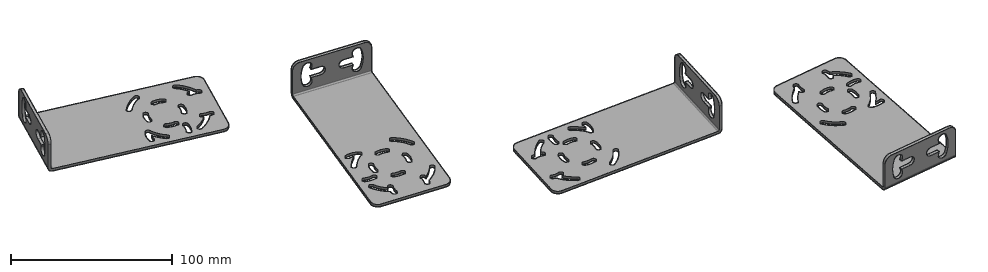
import cadquery as cq
import math

width = 54.0
length = 120.0
height = 27.0
thickness = 2.0
inner_bend_radius = 1.0
outer_bend_radius = inner_bend_radius + thickness
corner_radius = 5.0

plate_slot_width = 3.5
small_half_angle = 15.0
ring_radius = 12.0
ring_center = (0, 86.3)
large_radius = 24.2
rising_pair_center = (0, 88.3)
falling_pair_center = (0, 90.4)
large_half_angle = 15.0
rising_pair_angles = (49, 229)
falling_pair_angles = (139, 319)
upper_pair_radius = 11.5
upper_pair_center = (-1.5, 110.2)
right_pair_radius = 12.7
right_pair_center = (18.0, 82.2)

flange_slot_width = 6.5
flange_slot_height = 15.1
flange_arc_radius = 18.0
flange_half_angle = 20.0
stem_end_x = 7.9


def polar(center, radius, angle):
    """Point on a circle, with the angle in degrees."""
    turn = math.radians(angle)
    return (center[0] + radius * math.cos(turn), center[1] + radius * math.sin(turn))


def arc_slot(plane, center, radius, mid_angle, half_angle, slot_width, depth):
    """Round-ended slot following an arc, extruded along the plane normal."""
    start = mid_angle - half_angle
    end = mid_angle + half_angle
    inner = radius - slot_width / 2
    outer = radius + slot_width / 2
    start_center = polar(center, radius, start)
    end_center = polar(center, radius, end)
    return (
        cq.Workplane(plane)
        .moveTo(*polar(center, outer, start))
        .threePointArc(polar(center, outer, mid_angle), polar(center, outer, end))
        .threePointArc(polar(end_center, slot_width / 2, end + 90), polar(center, inner, end))
        .threePointArc(polar(center, inner, mid_angle), polar(center, inner, start))
        .threePointArc(polar(start_center, slot_width / 2, start - 90), polar(center, outer, start))
        .close()
        .extrude(depth)
    )


def bent_sheet():
    """L-shaped sheet with a rounded bend and rounded free corners."""
    sheet = (
        cq.Workplane("YZ")
        .moveTo(length, 0)
        .lineTo(outer_bend_radius, 0)
        .radiusArc((0, outer_bend_radius), outer_bend_radius)
        .lineTo(0, height)
        .lineTo(thickness, height)
        .lineTo(thickness, outer_bend_radius)
        .radiusArc((outer_bend_radius, thickness), -inner_bend_radius)
        .lineTo(length, thickness)
        .close()
        .extrude(width / 2, both=True)
    )
    sheet = sheet.faces(">Y").edges("|Z").fillet(corner_radius)
    return sheet.faces(">Z").edges("|Y").fillet(corner_radius)


def cut_plate_slots(body):
    """Cut the ring, the two pairs of large arcs and the two offset pairs of slots."""
    slots = [(ring_center, ring_radius, angle, small_half_angle) for angle in (0, 90, 180, 270)]
    slots += [(rising_pair_center, large_radius, angle, large_half_angle) for angle in rising_pair_angles]
    slots += [(falling_pair_center, large_radius, angle, large_half_angle) for angle in falling_pair_angles]
    slots += [(upper_pair_center, upper_pair_radius, angle, small_half_angle) for angle in (0, 180)]
    slots += [(right_pair_center, right_pair_radius, angle, small_half_angle) for angle in (90, 270)]
    for center, radius, angle, half_angle in slots:
        body = body.cut(arc_slot("XY", center, radius, angle, half_angle, plate_slot_width, thickness))
    return body


def cut_flange_slots(body):
    """Cut two mirrored arc slots, each with a straight stem toward the middle."""
    stem_length = flange_arc_radius - stem_end_x + flange_slot_width
    stem_center_x = (flange_arc_radius + stem_end_x) / 2
    for side, angle in ((1, 0), (-1, 180)):
        arc = arc_slot(
            "XZ", (0, flange_slot_height), flange_arc_radius, angle,
            flange_half_angle, flange_slot_width, -thickness,
        )
        stem = (
            cq.Workplane("XZ")
            .center(side * stem_center_x, flange_slot_height)
            .slot2D(stem_length, flange_slot_width)
            .extrude(-thickness)
        )
        body = body.cut(arc).cut(stem)
    return body


result = cut_flange_slots(cut_plate_slots(bent_sheet()))